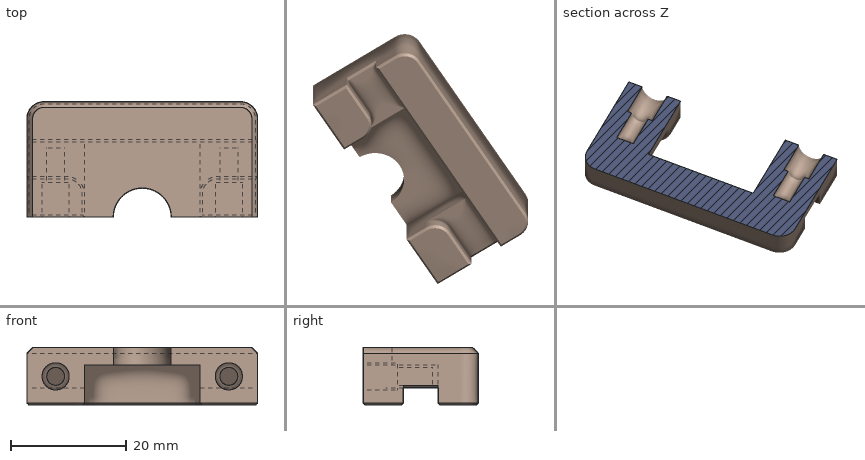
import cadquery as cq

length = 40.0
width = 20.0
height = 10.0
rear_corner_radius = 3.0
top_chamfer = 1.0
bottom_chamfer = 0.4

pocket_length = 20.0
pocket_height = 7.0
finger_notch_radius = 5.0

channel_front = 7.0
channel_width = 6.0
channel_height = 3.0
channel_mouth_radius = 3.0
channel_rear = channel_front + channel_width

bore_spacing = 30.0
bore_diameter = 3.1
bore_depth = 12.0
counterbore_diameter = 4.7
counterbore_depth = 6.0

middle_x = length / 2
pocket_left = middle_x - pocket_length / 2
pocket_right = middle_x + pocket_length / 2


def box_at(x, y, z, size_x, size_y, size_z):
    """Box with its lowest corner at (x, y, z)."""
    return cq.Workplane("XY").box(size_x, size_y, size_z, centered=False).translate((x, y, z))


def outer_block():
    """Block with rounded rear corners, its top chamfered on every side but the front."""
    block = box_at(0, 0, 0, length, width, height)
    block = block.edges("|Z and >Y").fillet(rear_corner_radius)
    return block.faces(">Z").edges("not <Y").chamfer(top_chamfer)


def pocket():
    """Recess reaching from the front face to the rear wall of the channel."""
    return box_at(pocket_left, 0, 0, pocket_length, channel_rear, pocket_height)


def channel():
    """Groove running through the whole length of the underside."""
    return box_at(0, channel_front, 0, length, channel_width, channel_height)


def round_channel_mouths(body):
    """Round the upright post edges where the channel opens into the pocket."""
    for x in (pocket_left, pocket_right):
        mouth_edge = cq.selectors.NearestToPointSelector((x, channel_front, channel_height / 2))
        body = body.edges("|Z").edges(mouth_edge).fillet(channel_mouth_radius)
    return body


def chamfer_underside(body):
    """Chamfer the underside outline and the two outer edges of the channel roof."""
    body = body.faces("<Z").edges().chamfer(bottom_chamfer)
    for x in (0, length):
        roof_edge = cq.selectors.NearestToPointSelector(
            (x, channel_front + channel_width / 2, channel_height)
        )
        body = body.edges("|Y").edges(roof_edge).chamfer(bottom_chamfer)
    return body


def finger_notch():
    """Half-round opening through the roof of the pocket, centred on the front face."""
    return cq.Workplane("XY").center(middle_x, 0).circle(finger_notch_radius).extrude(height)


def front_bore(x, diameter, depth):
    """Blind round bore running from the front face towards the rear at mid height."""
    return cq.Workplane("XZ", origin=(x, 0, height / 2)).circle(diameter / 2).extrude(-depth)


result = outer_block().cut(pocket()).cut(channel())
result = round_channel_mouths(result)
result = chamfer_underside(result)
result = result.cut(finger_notch())
for side in (-1, 1):
    bore_x = middle_x + side * bore_spacing / 2
    result = result.cut(front_bore(bore_x, bore_diameter, bore_depth))
    result = result.cut(front_bore(bore_x, counterbore_diameter, counterbore_depth))